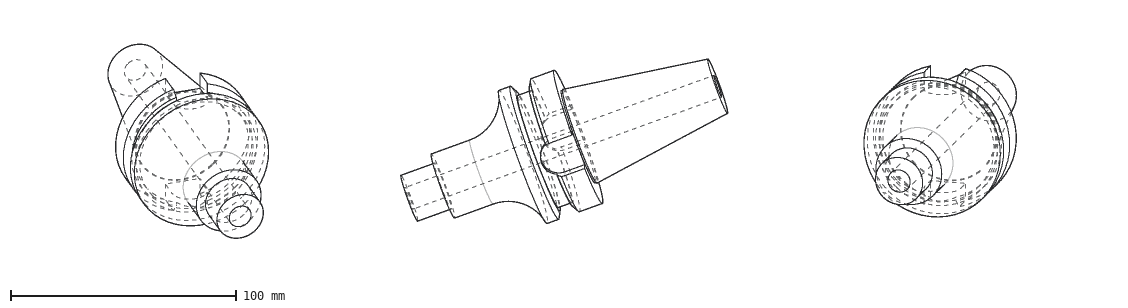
import cadquery as cq
import math

taper_length = 65.3
flange_start = 66.0
groove_chamfer_start = 77.0
groove_start = 78.9
groove_end = 85.0
rim_start = 86.8
neck_start = 112.0
neck_end = 130.2
total_length = 146.1

taper_small_radius = 12.9
taper_large_radius = 22.2
relief_radius = 21.9
flange_radius = 31.5
groove_radius = 26.52
groove_lip_radius = 28.2
neck_radius = 15.2
nose_radius = 10.89
bore_radius = 5.1
sweep_radius = 20.0

slot_width = 16.2
slot_end = 83.5
slot_floor = 22.7


def sweep_point(x):
    """Point on the concave arc that meets the neck tangentially."""
    rise = math.sqrt(sweep_radius**2 - (neck_start - x) ** 2)
    return x, neck_radius + sweep_radius - rise


def turned_body():
    """Revolve the taper, grooved flange, neck and nose about X."""
    sweep_center_radius = neck_radius + sweep_radius
    sweep_drop = sweep_center_radius - flange_radius
    rim_end = neck_start - math.sqrt(sweep_radius**2 - sweep_drop**2)
    sweep_middle = sweep_point((rim_end + neck_start) / 2)
    return (
        cq.Workplane("XY")
        .moveTo(0, bore_radius)
        .lineTo(0, taper_small_radius)
        .lineTo(taper_length, taper_large_radius)
        .lineTo(taper_length, relief_radius)
        .lineTo(flange_start, relief_radius)
        .lineTo(flange_start, flange_radius)
        .lineTo(groove_chamfer_start, flange_radius)
        .lineTo(groove_start, groove_lip_radius)
        .lineTo(groove_start, groove_radius)
        .lineTo(groove_end, groove_radius)
        .lineTo(groove_end, groove_lip_radius)
        .lineTo(rim_start, flange_radius)
        .lineTo(rim_end, flange_radius)
        .threePointArc(sweep_middle, (neck_start, neck_radius))
        .lineTo(neck_end, neck_radius)
        .lineTo(neck_end, nose_radius)
        .lineTo(total_length, nose_radius)
        .lineTo(total_length, bore_radius)
        .close()
        .revolve(360, (0, 0, 0), (1, 0, 0))
    )


def drive_slot():
    """Round-ended cutter for the upper slot, open at the flange face."""
    half_width = slot_width / 2
    straight_end = slot_end - half_width
    return (
        cq.Workplane("XY", origin=(0, 0, slot_floor))
        .moveTo(flange_start, -half_width)
        .lineTo(straight_end, -half_width)
        .threePointArc((slot_end, 0), (straight_end, half_width))
        .lineTo(flange_start, half_width)
        .close()
        .extrude(flange_radius - slot_floor)
    )


result = turned_body()
for angle in (0, 180):
    result = result.cut(drive_slot().rotate((0, 0, 0), (1, 0, 0), angle))